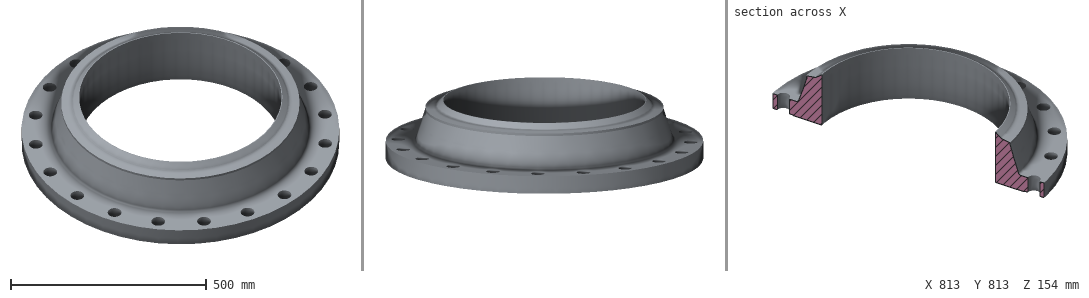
import cadquery as cq

flange_diameter = 813.0
flange_top = 48.0
raised_face_diameter = 692.0
raised_face_height = 2.0

overall_height = 154.0
bore_diameter = 518.0
hub_base_diameter = 663.0
hub_fillet_radius = 7.0
neck_diameter = 610.0
neck_bottom = 130.0
neck_top = 136.5
bevel_base_diameter = 556.0
bevel_base_height = 140.5
bevel_fillet_radius = 5.0
land_diameter = 522.0

bolt_count = 20
bolt_circle_diameter = 749.3
bolt_hole_diameter = 35.0

selection_margin = 1.0


def make_body():
    """Revolve the flange, the tapered hub and the bevelled weld end about Z."""
    bore_radius = bore_diameter / 2
    profile = [
        (bore_radius, 0),
        (raised_face_diameter / 2, 0),
        (raised_face_diameter / 2, raised_face_height),
        (flange_diameter / 2, raised_face_height),
        (flange_diameter / 2, flange_top),
        (hub_base_diameter / 2, flange_top),
        (neck_diameter / 2, neck_bottom),
        (neck_diameter / 2, neck_top),
        (bevel_base_diameter / 2, bevel_base_height),
        (land_diameter / 2, overall_height),
        (bore_radius, overall_height),
    ]
    return cq.Workplane("XZ").polyline(profile).close().revolve(360, (0, 0), (0, 1))


def fillet_corner(body, diameter, height, radius):
    """Fillet the circular inside corner of the given diameter and height."""
    reach = diameter / 2 + selection_margin
    corner = cq.selectors.BoxSelector(
        (-reach, -reach, height - selection_margin),
        (reach, reach, height + selection_margin),
        boundingbox=True,
    )
    return body.edges(corner).fillet(radius)


def cut_bolt_holes(body):
    """Drill the bolt holes, starting on the +X axis."""
    holes = (
        cq.Workplane("XY")
        .polarArray(bolt_circle_diameter / 2, 0, 360, bolt_count)
        .circle(bolt_hole_diameter / 2)
        .extrude(flange_top)
    )
    return body.cut(holes)


body = make_body()
body = fillet_corner(body, hub_base_diameter, flange_top, hub_fillet_radius)
body = fillet_corner(body, bevel_base_diameter, bevel_base_height, bevel_fillet_radius)
result = cut_bolt_holes(body)